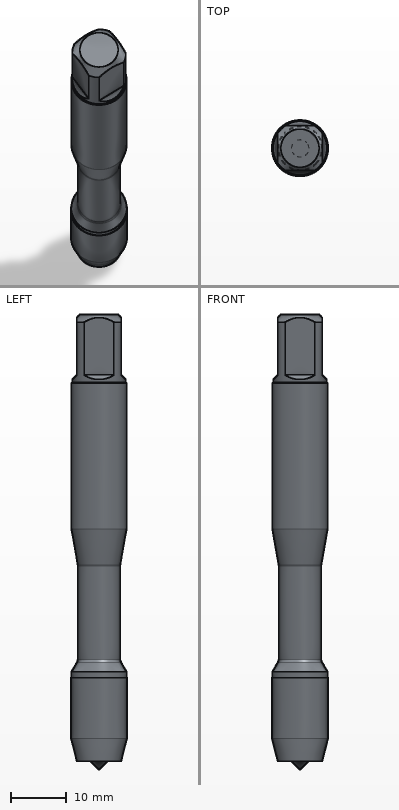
import cadquery as cq
import math

total_length = 81.65

head_diameter = 10.1
head_top_z = 16.5
head_taper_top_z = 5.7
head_end_diameter = 8.0
tip_height = 1.55

shank_diameter = 10.0
shank_top_z = 69.5
flare_top_z = 43.2
flare_angle = 10.0
neck_diameter = 7.7
neck_blend_radius = 1.0
collar_top_z = 17.55
collar_angle = 30.0

drive_diameter = 9.6
drive_flat_width = 8.0
drive_flat_bottom_z = 70.8
drive_runout_height = 0.8
drive_top_chamfer = 1.4

shank_radius = shank_diameter / 2
neck_radius = neck_diameter / 2
drive_radius = drive_diameter / 2
shoulder_chamfer = shank_radius - drive_radius
neck_depth = shank_radius - neck_radius
flare_bottom_z = flare_top_z - neck_depth / math.tan(math.radians(flare_angle))
neck_bottom_z = collar_top_z + neck_depth / math.tan(math.radians(collar_angle))


def revolve_profile(points):
    """Revolve a closed (radius, Z) outline about the Z axis."""
    return cq.Workplane("XZ").polyline(points).close().revolve(360, (0, 0, 0), (0, 1, 0))


def make_cutting_head():
    """Cylindrical head with a tapered lead and a pointed tip."""
    return revolve_profile([
        (0, 0),
        (tip_height, tip_height),
        (head_end_diameter / 2, tip_height),
        (head_diameter / 2, head_taper_top_z),
        (head_diameter / 2, head_top_z),
        (0, head_top_z),
    ])


def make_turned_shank():
    """Collar, necked stem and shank, with blends at both ends of the neck."""
    stem = revolve_profile([
        (0, head_top_z),
        (shank_radius, head_top_z),
        (shank_radius, collar_top_z),
        (neck_radius, neck_bottom_z),
        (neck_radius, flare_bottom_z),
        (shank_radius, flare_top_z),
        (shank_radius, shank_top_z - shoulder_chamfer),
        (drive_radius, shank_top_z),
        (0, shank_top_z),
    ])
    neck_ends = cq.selectors.RadiusNthSelector(0)
    return stem.edges("%CIRCLE").edges(neck_ends).fillet(neck_blend_radius)


def make_drive_blank():
    """Round blank of the drive end with a 45 degree top chamfer."""
    return (
        cq.Workplane("XY", origin=(0, 0, shank_top_z))
        .circle(drive_radius)
        .extrude(total_length - shank_top_z)
        .faces(">Z")
        .chamfer(drive_top_chamfer)
    )


def make_flat_cutter():
    """Cutter for the +X flat, with a sloped run-out at its lower end."""
    flat_x = drive_flat_width / 2
    return (
        cq.Workplane("XZ")
        .moveTo(flat_x, drive_flat_bottom_z)
        .lineTo(drive_radius, drive_flat_bottom_z - drive_runout_height)
        .lineTo(drive_radius, total_length)
        .lineTo(flat_x, total_length)
        .close()
        .extrude(drive_radius, both=True)
    )


def make_holder():
    """Turned shank carrying the four-sided drive end."""
    drive = make_drive_blank()
    for side in range(4):
        drive = drive.cut(make_flat_cutter().rotate((0, 0, 0), (0, 0, 1), 90 * side))
    return make_turned_shank().union(drive)


cutting_head = make_cutting_head()
holder = make_holder()

result = cq.Compound.makeCompound([cutting_head.val(), *holder.solids().vals()])